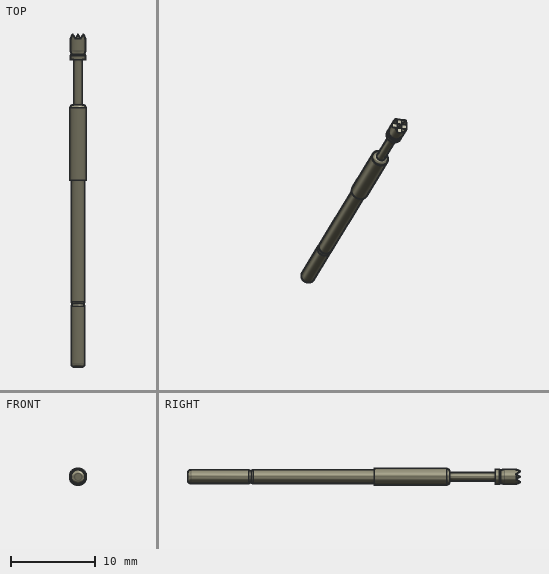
import cadquery as cq

length = 39.3

head_radius = 0.9
waist_radius = 0.8
stem_radius = 0.5
nose_radius = 0.95
sleeve_radius = 2.0 / 2
barrel_radius = 0.83
tail_flat_radius = 0.45

head_end = 1.93
waist = 2.3
collar_start = 2.5
collar_end = 3.0
sleeve_front = 8.35
sleeve_end = 17.25
nose_length = 0.35

crimp_start = 31.55
crimp_width = 0.55
crimp_taper = 0.25
crimp_depth = 0.1

notch_depth = 0.5
notch_floor_half = 0.28
tooth_offset = head_radius / 2**0.5


def turned_body():
    """Revolve the half outline about the Y axis; the tail sits at Y = 0."""
    tail_round = barrel_radius - tail_flat_radius
    crimp_front = length - crimp_start
    crimp_back = crimp_front - crimp_width
    crimp_bottom = crimp_front - crimp_taper
    arc_span = crimp_bottom - crimp_back
    crimp_arc_radius = (arc_span**2 + crimp_depth**2) / (2 * crimp_depth)
    outline = (
        cq.Workplane("XY")
        .lineTo(tail_flat_radius, 0)
        .radiusArc((barrel_radius, tail_round), -tail_round)
        .lineTo(barrel_radius, crimp_back)
        .radiusArc((barrel_radius - crimp_depth, crimp_bottom), crimp_arc_radius)
        .lineTo(barrel_radius, crimp_front)
        .lineTo(barrel_radius, length - sleeve_end)
        .lineTo(sleeve_radius, length - sleeve_end)
        .lineTo(sleeve_radius, length - sleeve_front - nose_length)
        .lineTo(nose_radius, length - sleeve_front - nose_length)
        .radiusArc((nose_radius - nose_length, length - sleeve_front), -nose_length)
        .lineTo(stem_radius, length - sleeve_front)
        .lineTo(stem_radius, length - collar_end)
        .lineTo(head_radius, length - collar_end)
        .lineTo(head_radius, length - collar_start)
        .lineTo(waist_radius, length - waist)
        .lineTo(head_radius, length - head_end)
        .lineTo(head_radius, length)
        .lineTo(0, length)
        .close()
    )
    return outline.revolve(360, (0, 0, 0), (0, 1, 0))


def crown_notch():
    """Trapezoidal notch running through the head along Z."""
    floor = length - notch_depth
    return (
        cq.Workplane("XY")
        .moveTo(-notch_floor_half, floor)
        .lineTo(notch_floor_half, floor)
        .lineTo(tooth_offset, length)
        .lineTo(-tooth_offset, length)
        .close()
        .extrude(2 * head_radius, both=True)
    )


def center_point():
    """Square pyramid standing on the floor where the notches cross."""
    half = notch_floor_half
    base = length - notch_depth
    corners = [
        cq.Vector(-half, base, -half),
        cq.Vector(half, base, -half),
        cq.Vector(half, base, half),
        cq.Vector(-half, base, half),
    ]
    apex = cq.Vector(0, length, 0)
    loops = [corners]
    for first, second in zip(corners, corners[1:] + corners[:1]):
        loops.append([first, second, apex])
    wires = [cq.Wire.makePolygon(loop, close=True) for loop in loops]
    faces = [cq.Face.makeFromWires(wire) for wire in wires]
    return cq.Workplane(cq.Solid.makeSolid(cq.Shell.makeShell(faces)))


probe = turned_body()
for angle in (0, 90):
    probe = probe.cut(crown_notch().rotate((0, 0, 0), (0, 1, 0), angle))
result = probe.union(center_point()).solids()